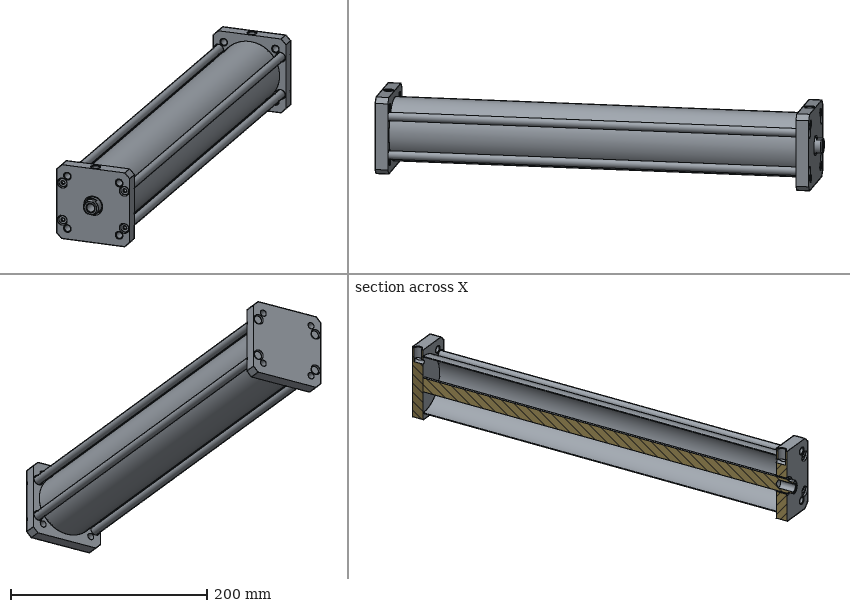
import cadquery as cq
import math

TOTAL_LENGTH = 457.0

PLATE_WIDTH = 80.0
PLATE_THICKNESS = 13.3
PLATE_CORNER_CHAMFER = 5.5

BARREL_DIAMETER = 66.0
BORE_DIAMETER = 63.0

MOUNT_HOLE_DIAMETER = 7.0
MOUNT_HOLE_MOUTH_DIAMETER = 8.0
MOUNT_HOLE_OFFSET = 28.5

TIE_ROD_DIAMETER = 8.5
TIE_ROD_HOLE_DIAMETER = 10.5
TIE_ROD_RECESS = 2.0
TIE_ROD_X = 34.0
TIE_ROD_Z = 20.0
TIE_ROD_DRILL_DIAMETER = 4.0
TIE_ROD_DRILL_DEPTH = 2.5

PORT_DIAMETER = 8.5
PORT_MOUTH_DIAMETER = 10.0
PORT_DEPTH = 13.0
PASSAGE_DIAMETER = 4.0

ROD_PROJECTION = 7.8
PISTON_ROD_DIAMETER = 16.5
ROD_OPENING_DIAMETER = 18.0
ROD_OPENING_MOUTH_DIAMETER = 20.5
ROD_END_CHAMFER = 1.5
FLATS_WIDTH = 13.5
FLATS_LENGTH = 6.5
ROD_DRILL_DIAMETER = 8.5
ROD_DRILL_MOUTH_DIAMETER = 10.0
ROD_DRILL_DEPTH = 18.5

DRILL_POINT_ANGLE = 118.0

BACKWARD = cq.Vector(0, 1, 0)
DOWN = cq.Vector(0, 0, -1)

rod_end_y = -TOTAL_LENGTH / 2
front_face_y = rod_end_y + ROD_PROJECTION
barrel_front_y = front_face_y + PLATE_THICKNESS
rear_face_y = TOTAL_LENGTH / 2
barrel_rear_y = rear_face_y - PLATE_THICKNESS


def four_corners(x, z):
    """Points mirrored into the four quadrants of the XZ plane."""
    return [(side_x * x, side_z * z) for side_x in (-1, 1) for side_z in (-1, 1)]


tie_rod_points = four_corners(TIE_ROD_X, TIE_ROD_Z)
mount_points = four_corners(MOUNT_HOLE_OFFSET, MOUNT_HOLE_OFFSET)


def cylinder_y(diameter, start_y, end_y, x=0.0, z=0.0):
    """Cylinder parallel to Y between two stations."""
    base = cq.Vector(x, start_y, z)
    return cq.Workplane(cq.Solid.makeCylinder(diameter / 2, end_y - start_y, base, BACKWARD))


def countersink(diameter, mouth_diameter, mouth, direction):
    """45 degree cone that narrows from its mouth to the hole diameter."""
    depth = (mouth_diameter - diameter) / 2
    return cq.Workplane(cq.Solid.makeCone(mouth_diameter / 2, diameter / 2, depth, mouth, direction))


def drill_point_length(diameter):
    """Length of the cone that a drill leaves at the bottom of a blind hole."""
    return diameter / 2 / math.tan(math.radians(DRILL_POINT_ANGLE / 2))


def drilled_hole(diameter, depth, mouth, direction):
    """Cutter for a blind hole with a conical drill point below its straight depth."""
    radius = diameter / 2
    shaft = cq.Workplane(cq.Solid.makeCylinder(radius, depth, mouth, direction))
    point = cq.Solid.makeCone(radius, 0, drill_point_length(diameter), mouth + direction * depth, direction)
    return shaft.union(cq.Workplane(point))


def cut_port(plate, center_y, barrel_y):
    """Port drilled down from the top edge, joined to the barrel by a passage along Y."""
    top_z = PLATE_WIDTH / 2
    mouth = cq.Vector(0, center_y, top_z)
    port = drilled_hole(PORT_DIAMETER, PORT_DEPTH, mouth, DOWN)
    port = port.union(countersink(PORT_DIAMETER, PORT_MOUTH_DIAMETER, mouth, DOWN))
    far_wall_y = center_y + math.copysign(PORT_DIAMETER / 2, center_y - barrel_y)
    passage_start_y, passage_end_y = sorted((barrel_y, far_wall_y))
    passage_z = top_z - PORT_DEPTH - drill_point_length(PORT_DIAMETER) / 2
    passage = cylinder_y(PASSAGE_DIAMETER, passage_start_y, passage_end_y, z=passage_z)
    return plate.cut(port).cut(passage)


def make_end_plate(start_y, barrel_y):
    """Plate from start_y onwards in Y; barrel_y is the face that meets the barrel."""
    end_y = start_y + PLATE_THICKNESS
    center_y = (start_y + end_y) / 2
    plate = (
        cq.Workplane("XY")
        .box(PLATE_WIDTH, PLATE_THICKNESS, PLATE_WIDTH)
        .edges("|Y")
        .chamfer(PLATE_CORNER_CHAMFER)
        .translate((0, center_y, 0))
    )
    for x, z in mount_points:
        mouth = cq.Vector(x, start_y, z)
        plate = plate.cut(cylinder_y(MOUNT_HOLE_DIAMETER, start_y, end_y, x, z))
        plate = plate.cut(
            countersink(MOUNT_HOLE_DIAMETER, MOUNT_HOLE_MOUTH_DIAMETER, mouth, BACKWARD)
        )
    for x, z in tie_rod_points:
        plate = plate.cut(cylinder_y(TIE_ROD_HOLE_DIAMETER, start_y, end_y, x, z))
    return cut_port(plate, center_y, barrel_y)


def make_front_plate():
    """End plate with a chamfered central opening for the piston rod."""
    plate = make_end_plate(front_face_y, barrel_front_y)
    plate = plate.cut(cylinder_y(ROD_OPENING_DIAMETER, front_face_y, barrel_front_y))
    mouth = cq.Vector(0, front_face_y, 0)
    return plate.cut(
        countersink(ROD_OPENING_DIAMETER, ROD_OPENING_MOUTH_DIAMETER, mouth, BACKWARD)
    )


def make_barrel():
    """Tube between the end plates."""
    tube = cylinder_y(BARREL_DIAMETER, barrel_front_y, barrel_rear_y)
    return tube.cut(cylinder_y(BORE_DIAMETER, barrel_front_y, barrel_rear_y))


def make_tie_rod(x, z):
    """Rod set slightly below both outer plate faces, with a drilled centre at its front end."""
    start_y = front_face_y + TIE_ROD_RECESS
    rod = cylinder_y(TIE_ROD_DIAMETER, start_y, rear_face_y - TIE_ROD_RECESS, x, z)
    mouth = cq.Vector(x, start_y, z)
    return rod.cut(drilled_hole(TIE_ROD_DRILL_DIAMETER, TIE_ROD_DRILL_DEPTH, mouth, BACKWARD))


def make_piston_rod():
    """Rod reaching back to the rear plate, with two wrench flats and a drilled front end."""
    rod = cylinder_y(PISTON_ROD_DIAMETER, rod_end_y, barrel_rear_y)
    rod = rod.faces("<Y").chamfer(ROD_END_CHAMFER)
    flats = cq.Workplane("XY").box(PISTON_ROD_DIAMETER, FLATS_LENGTH, PISTON_ROD_DIAMETER)
    flats = flats.cut(cq.Workplane("XY").box(PISTON_ROD_DIAMETER, FLATS_LENGTH, FLATS_WIDTH))
    rod = rod.cut(flats.translate((0, rod_end_y + FLATS_LENGTH / 2, 0)))
    mouth = cq.Vector(0, rod_end_y, 0)
    rod = rod.cut(drilled_hole(ROD_DRILL_DIAMETER, ROD_DRILL_DEPTH, mouth, BACKWARD))
    return rod.cut(countersink(ROD_DRILL_DIAMETER, ROD_DRILL_MOUTH_DIAMETER, mouth, BACKWARD))


front_plate = make_front_plate()
rear_plate = make_end_plate(barrel_rear_y, barrel_rear_y)
barrel = make_barrel()
piston_rod = make_piston_rod()
tie_rods = [make_tie_rod(x, z) for x, z in tie_rod_points]

result = cq.Compound.makeCompound(
    [front_plate.val(), rear_plate.val(), barrel.val(), piston_rod.val(), *[rod.val() for rod in tie_rods]]
)